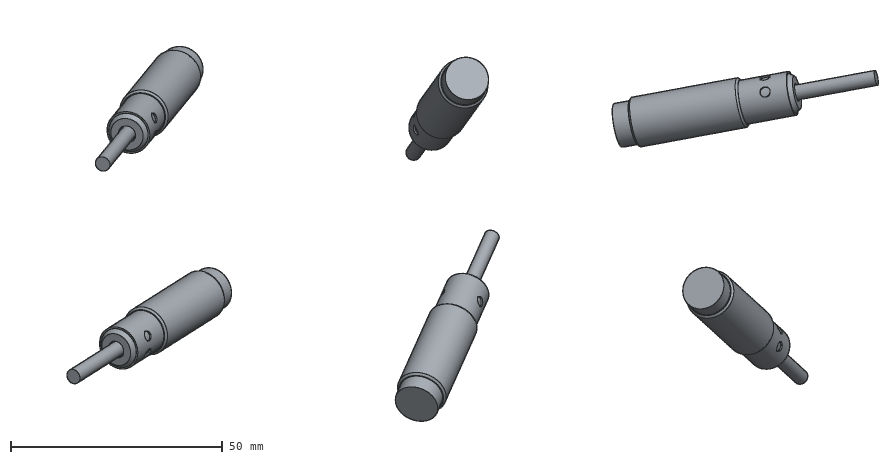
import cadquery as cq
import math


total_length = 63.5

barrel_diameter = 12.0
neck_diameter = 10.6
shoulder_diameter = 11.0
face_chamfer_length = 0.3
face_chamfer_depth = 0.05
head_length = 4.0
barrel_end = 31.0
housing_end = 42.85
shoulder_chamfer = (barrel_diameter - shoulder_diameter) / 2

window_diameter = 2.5
window_station = 37.45
window_tilt = 25.0

bore_diameter = 9.8
plug_diameter = 9.7
plug_tip_diameter = 8.0
plug_tip_length = 1.15
plug_front = barrel_end

cable_diameter = 3.6
cable_hole_diameter = 4.2
cable_hole_depth = 2.55

plug_end = housing_end + plug_tip_length
cable_front = plug_end - cable_hole_depth


def cylinder(diameter, front, back):
    """Solid cylinder on the Y axis between two stations."""
    return (
        cq.Workplane("XZ", origin=(0, -front, 0))
        .circle(diameter / 2)
        .extrude(back - front)
    )


def make_housing_blank():
    """Revolve the outer outline of the sensing head, barrel and rear neck."""
    neck = neck_diameter / 2
    barrel = barrel_diameter / 2
    shoulder = shoulder_diameter / 2
    return (
        cq.Workplane("XY")
        .lineTo(neck - face_chamfer_depth, 0)
        .lineTo(neck, -face_chamfer_length)
        .lineTo(neck, -head_length)
        .lineTo(shoulder, -head_length)
        .lineTo(barrel, -head_length - shoulder_chamfer)
        .lineTo(barrel, -barrel_end + shoulder_chamfer)
        .lineTo(shoulder, -barrel_end)
        .lineTo(neck, -barrel_end)
        .lineTo(neck, -housing_end)
        .lineTo(0, -housing_end)
        .close()
        .revolve(360, (0, 0, 0), (0, 1, 0))
    )


def make_window_cutter(angle):
    """Radial cylinder leaving the axis at an angle from +X toward +Z."""
    direction = cq.Vector(math.cos(math.radians(angle)), 0, math.sin(math.radians(angle)))
    start = cq.Vector(0, -window_station, 0)
    return cq.Solid.makeCylinder(window_diameter / 2, barrel_diameter / 2, start, direction)


def make_housing():
    housing = make_housing_blank().cut(cylinder(bore_diameter, plug_front, housing_end))
    for side in (0, 180):
        for tilt in (-window_tilt, window_tilt):
            housing = housing.cut(cq.Workplane(obj=make_window_cutter(side + tilt)))
    return housing


def make_plug():
    """Cylinder with a conical rear tip and a blind hole for the cable."""
    plug = (
        cq.Workplane("XY")
        .moveTo(0, -plug_front)
        .lineTo(plug_diameter / 2, -plug_front)
        .lineTo(plug_diameter / 2, -housing_end)
        .lineTo(plug_tip_diameter / 2, -plug_end)
        .lineTo(0, -plug_end)
        .close()
        .revolve(360, (0, 0, 0), (0, 1, 0))
    )
    return plug.cut(cylinder(cable_hole_diameter, cable_front, plug_end))


def make_cable():
    """Round cable resting on the floor of the plug's hole."""
    return cylinder(cable_diameter, cable_front, total_length)


housing = make_housing()
plug = make_plug()
cable = make_cable()

result = cq.Compound.makeCompound([housing.val(), plug.val(), cable.val()])